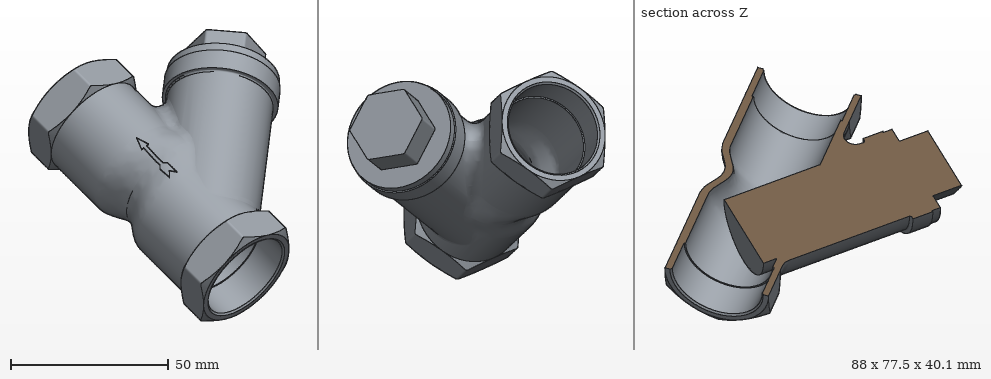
import cadquery as cq
import math

overall_length = 88.0
pipe_diameter = 35.0
thread_diameter = 30.29
passage_diameter = 29.29
thread_depth = 11.8
mouth_chamfer = 0.6

end_hex_across_flats = 35.0
end_hex_length = 11.4
end_hex_corner_radius = 1.0
end_hex_bevel_angle = 30.0

waist_half_length = 10.65
waist_shift = 4.3
waist_half_sections = 5

branch_angle = 45.0
branch_crossing_x = 22.5
branch_diameter = 34.0
branch_inner_end = -12.0
blend_radius = 3.7

collar_start = 36.35
collar_diameter = 37.0
collar_length = 7.0
collar_root_radius = 0.5
cap_diameter = 36.0
cap_length = 3.0
cap_hex_across_flats = 22.0
cap_hex_length = 10.0
cap_hex_corner_radius = 1.0

core_diameter = passage_diameter
core_inner_end = -14.4

arrow_center_y = -0.6
arrow_tip_x = -10.4
arrow_head_length = 4.3
arrow_head_half_width = 1.45
arrow_shaft_half_width = 0.6
arrow_feather_start_x = 2.2
arrow_feather_flare = 1.0
arrow_feather_half_width = 1.55
arrow_tail_x = 8.1
arrow_notch_depth = 2.1
arrow_height = 0.35

half_length = overall_length / 2
hex_inner_x = half_length - end_hex_length
thread_inner_x = half_length - thread_depth
cap_start = collar_start + collar_length
cap_hex_start = cap_start + cap_length
branch_cos = math.cos(math.radians(branch_angle))
branch_sin = math.sin(math.radians(branch_angle))
branch_foot_distance = branch_crossing_x * branch_sin
branch_foot = cq.Vector(branch_foot_distance * branch_sin, branch_foot_distance * branch_cos, 0)
branch_direction = cq.Vector(-branch_cos, branch_sin, 0)
sides = (-1, 1)


def run_plane(x, y=0.0):
    """Plane across the pipe at (x, y, 0), facing +X."""
    return cq.Plane(origin=(x, y, 0), xDir=(0, -1, 0), normal=(1, 0, 0))


def run_cylinder(diameter, start_x, end_x):
    return cq.Workplane(run_plane(start_x)).circle(diameter / 2).extrude(end_x - start_x)


def branch_plane(distance):
    """Plane across the branch at the given distance along its axis, facing outward."""
    origin = branch_foot + branch_direction * distance
    return cq.Plane(origin=origin, xDir=(-branch_sin, -branch_cos, 0), normal=branch_direction)


def branch_cylinder(diameter, start, length):
    return cq.Workplane(branch_plane(start)).circle(diameter / 2).extrude(length)


def hex_prism(plane, across_flats, length, corner_radius):
    across_corners = across_flats / math.cos(math.radians(30))
    prism = cq.Workplane(plane).polygon(6, across_corners).extrude(length)
    return prism.edges(cq.selectors.ParallelDirSelector(plane.zDir)).fillet(corner_radius)


def waist_half(diameter, side):
    """Round tube from mid-length to one end of the waist, its centre on a cosine wave."""
    sections = []
    for index in range(waist_half_sections):
        fraction = index / (waist_half_sections - 1)
        shift = waist_shift * (1 + math.cos(math.pi * fraction)) / 2
        plane = run_plane(side * waist_half_length * fraction, shift)
        sections.append(cq.Workplane(plane).circle(diameter / 2).val())
    return cq.Workplane(cq.Solid.makeLoft(sections))


def waist(diameter):
    return waist_half(diameter, -1).union(waist_half(diameter, 1))


def waisted_run(diameter, end_x):
    """Straight round pipe out to +-end_x with the waist in the middle."""
    left = run_cylinder(diameter, -end_x, -waist_half_length)
    right = run_cylinder(diameter, waist_half_length, end_x)
    return left.union(right).union(waist(diameter))


def is_blend_edge(edge):
    """True for the seam between pipe and branch: curved, off the section planes and the ends."""
    center = edge.Center()
    section_planes = (0, waist_half_length, hex_inner_x)
    on_section = any(math.isclose(abs(center.x), x, abs_tol=0.01) for x in section_planes)
    outer_end = branch_foot + branch_direction * collar_start
    on_branch_end = (center - outer_end).Length < branch_diameter / 2
    return edge.geomType() != "LINE" and not on_section and not on_branch_end


def blended_body():
    pipe = waisted_run(pipe_diameter, hex_inner_x)
    branch = branch_cylinder(branch_diameter, branch_inner_end, collar_start - branch_inner_end)
    joined = pipe.union(branch)
    seam = [edge for edge in joined.edges().vals() if is_blend_edge(edge)]
    return joined.newObject(seam).fillet(blend_radius)


def end_hex(side):
    """End fitting with its corners bevelled toward both faces."""
    plane = cq.Plane(origin=(side * half_length, 0, 0), xDir=(0, 0, 1), normal=(-side, 0, 0))
    prism = hex_prism(plane, end_hex_across_flats, end_hex_length, end_hex_corner_radius)
    face_radius = end_hex_across_flats / 2
    peak_rise = end_hex_length / 2 / math.tan(math.radians(end_hex_bevel_angle))
    middle_x = half_length - end_hex_length / 2
    double_cone = (
        cq.Workplane("XY")
        .moveTo(side * half_length, 0)
        .lineTo(side * half_length, face_radius)
        .lineTo(side * middle_x, face_radius + peak_rise)
        .lineTo(side * hex_inner_x, face_radius)
        .lineTo(side * hex_inner_x, 0)
        .close()
        .revolve(360, (0, 0, 0), (1, 0, 0))
    )
    return prism.intersect(double_cone)


def branch_end():
    """Collar, cap and cap hexagon stacked along the branch axis."""
    collar = branch_cylinder(collar_diameter, collar_start, collar_length)
    cap = branch_cylinder(cap_diameter, cap_start, cap_length)
    cap_hex = hex_prism(
        branch_plane(cap_hex_start), cap_hex_across_flats, cap_hex_length, cap_hex_corner_radius
    )
    return collar.union(cap).union(cap_hex)


def collar_root():
    """Ring with a concave quarter-round flank where the branch meets the collar."""
    tube_radius = branch_diameter / 2
    crest_radius = tube_radius + collar_root_radius
    sag = collar_root_radius * (1 - math.sqrt(0.5))
    profile_plane = cq.Plane(
        origin=branch_foot + branch_direction * collar_start,
        xDir=(0, 0, 1),
        normal=cq.Vector(0, 0, 1).cross(branch_direction),
    )
    return (
        cq.Workplane(profile_plane)
        .moveTo(0, 0)
        .lineTo(crest_radius, 0)
        .threePointArc((tube_radius + sag, -sag), (tube_radius, -collar_root_radius))
        .lineTo(0, -collar_root_radius)
        .close()
        .revolve(360, (0, 0, 0), (0, 1, 0))
    )


def flow_arrow():
    """Raised arrow that follows the waist surface."""
    head_back_x = arrow_tip_x + arrow_head_length
    feather_full_x = arrow_feather_start_x + arrow_feather_flare
    upper_side = [
        (head_back_x, arrow_head_half_width),
        (head_back_x, arrow_shaft_half_width),
        (arrow_feather_start_x, arrow_shaft_half_width),
        (feather_full_x, arrow_feather_half_width),
        (arrow_tail_x, arrow_feather_half_width),
    ]
    lower_side = [(x, -y) for x, y in reversed(upper_side)]
    notch = (arrow_tail_x - arrow_notch_depth, 0)
    outline = [(arrow_tip_x, 0)] + upper_side + [notch] + lower_side
    prism = (
        cq.Workplane("XY", origin=(0, arrow_center_y, 0))
        .polyline(outline)
        .close()
        .extrude(pipe_diameter)
    )
    skin = waist(pipe_diameter + 2 * arrow_height).cut(waist(passage_diameter))
    return skin.intersect(prism)


def thread_bore(side):
    """Threaded-mouth bore with a chamfered entry."""
    plane = cq.Plane(origin=(side * half_length, 0, 0), xDir=(0, 1, 0), normal=(-side, 0, 0))
    bore = cq.Workplane(plane).circle(thread_diameter / 2).extrude(thread_depth)
    mouth = cq.Solid.makeCone(
        thread_diameter / 2 + mouth_chamfer,
        thread_diameter / 2,
        mouth_chamfer,
        plane.origin,
        plane.zDir,
    )
    return bore.union(cq.Workplane(mouth))


def flow_passage():
    """Waisted through passage, with the branch core left standing in it."""
    passage = waisted_run(passage_diameter, thread_inner_x)
    for side in sides:
        passage = passage.union(thread_bore(side))
    core = branch_cylinder(core_diameter, core_inner_end, collar_start - core_inner_end)
    return passage.cut(core)


result = blended_body().union(branch_end()).union(collar_root()).union(flow_arrow())
for side in sides:
    result = result.union(end_hex(side))
result = result.cut(flow_passage())